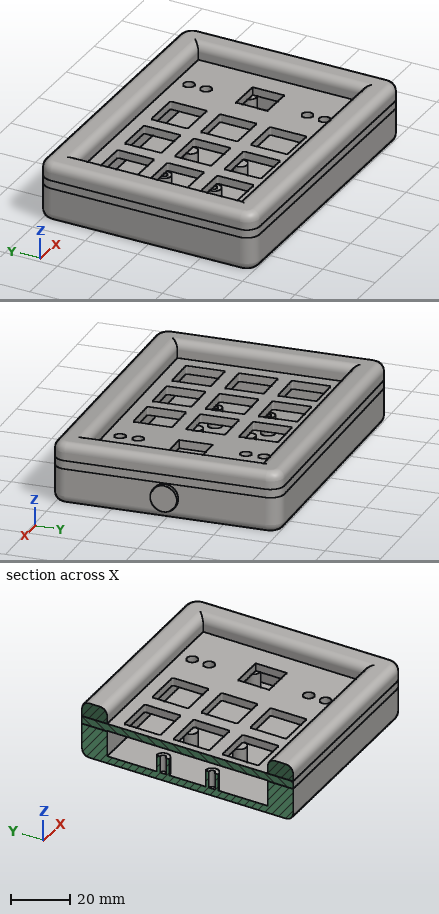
import cadquery as cq

CASE_X = 107.0
CASE_Y = 82.1
CORNER_R = 5.0
EDGE_R = 3.0

BASE_H = 13.0
PLATE_T = 3.0
FRAME_H = 6.0
PLATE_Z = BASE_H
FRAME_Z = PLATE_Z + PLATE_T

WALL = 10.0
OPENING_X = CASE_X - 2 * WALL
OPENING_Y = CASE_Y - 2 * WALL
FLOOR = 3.0

BOSS_D = 9.5
TOTAL_X = 108.5
BOSS_OUT = TOTAL_X - CASE_X
BOSS_Z = 7.9

KEY_SIZE = 14.0
KEY_PITCH = 19.0
KEY_CORNER_R = 0.5
KEY_GRID_X = -12.3
KEY_STEPS = (-1, 0, 1)

ENCODER_SIZE = 12.0
ENCODER_X = 29.3

LAMP_D = 4.0
LAMP_X = 26.9
LAMP_INNER_Y = 19.3
LAMP_OUTER_Y = 25.8

POST_D = 5.0
POST_H = 6.5
POST_HOLE_D = 2.2
POST_Y = KEY_PITCH / 2
DRILLED_POST_X = KEY_GRID_X - KEY_PITCH / 2
PLAIN_POST_X = KEY_GRID_X + KEY_PITCH / 2
SIDE_POST_X = 39.8


def case_layer(z, height):
    """Full-size slab of the case with rounded vertical corners."""
    slab = cq.Workplane("XY", origin=(0, 0, z)).rect(CASE_X, CASE_Y).extrude(height)
    return slab.edges("|Z").fillet(CORNER_R)


def opening(z, height):
    """Sharp-cornered block removed from the base and from the frame."""
    return cq.Workplane("XY", origin=(0, 0, z)).rect(OPENING_X, OPENING_Y).extrude(height)


def post(x, y):
    """Plain round post on the floor of the base."""
    return cq.Workplane("XY", origin=(x, y, FLOOR)).circle(POST_D / 2).extrude(POST_H)


def drilled_post(x, y):
    """Post with a hole down to the floor of the base."""
    return post(x, y).faces(">Z").workplane().hole(POST_HOLE_D, POST_H)


def make_base():
    base = case_layer(0, BASE_H).faces("<Z").edges().fillet(EDGE_R)
    base = base.cut(opening(FLOOR, BASE_H - FLOOR))
    boss = (
        cq.Workplane("YZ", origin=(CASE_X / 2 - WALL, 0, BOSS_Z))
        .circle(BOSS_D / 2)
        .extrude(WALL + BOSS_OUT)
    )
    base = base.union(boss)
    for y in (-POST_Y, POST_Y):
        base = base.union(drilled_post(DRILLED_POST_X, y))
        base = base.union(post(PLAIN_POST_X, y))
    return base.union(post(SIDE_POST_X, POST_Y))


def plate_sketch():
    return cq.Workplane("XY", origin=(0, 0, PLATE_Z))


def key_openings():
    centres = [(KEY_GRID_X + i * KEY_PITCH, j * KEY_PITCH) for i in KEY_STEPS for j in KEY_STEPS]
    openings = plate_sketch().pushPoints(centres).rect(KEY_SIZE, KEY_SIZE).extrude(PLATE_T)
    return openings.edges("|Z").fillet(KEY_CORNER_R)


def encoder_opening():
    return plate_sketch().center(ENCODER_X, 0).rect(ENCODER_SIZE, ENCODER_SIZE).extrude(PLATE_T)


def lamp_holes():
    centres = [(LAMP_X, side * y) for side in (-1, 1) for y in (LAMP_INNER_Y, LAMP_OUTER_Y)]
    return plate_sketch().pushPoints(centres).circle(LAMP_D / 2).extrude(PLATE_T)


def make_plate():
    plate = case_layer(PLATE_Z, PLATE_T)
    return plate.cut(key_openings()).cut(encoder_opening()).cut(lamp_holes())


def make_frame():
    frame = case_layer(FRAME_Z, FRAME_H)
    frame = frame.cut(opening(FRAME_Z, FRAME_H))
    return frame.faces(">Z").edges().fillet(EDGE_R)


base = make_base()
plate = make_plate()
frame = make_frame()
result = cq.Compound.makeCompound([base.val(), plate.val(), frame.val()])